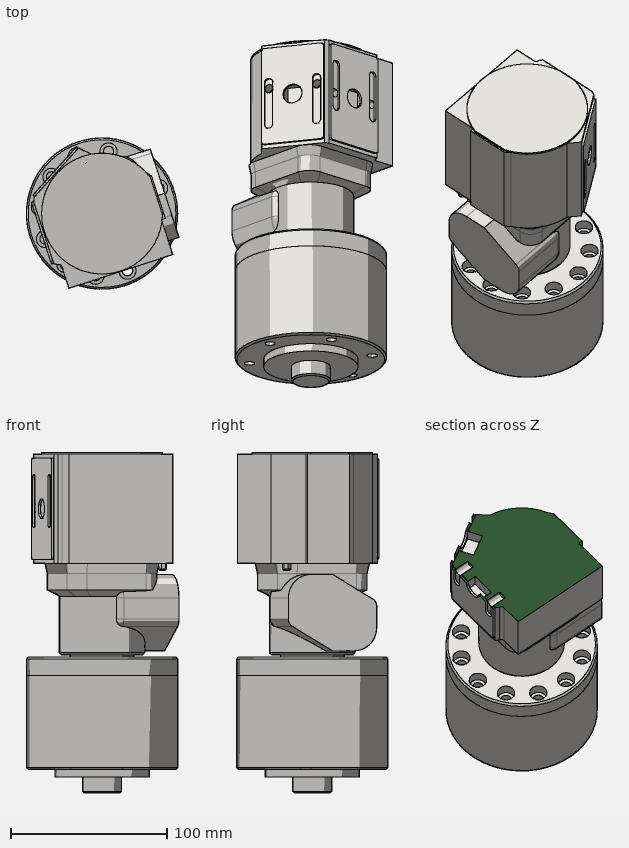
import cadquery as cq
import math

SPINDLE_LENGTH = 10.0
BOSS_HEIGHT = 5.0
HOUSING_HEIGHT = 60.0
FLANGE_HEIGHT = 12.0
COLLAR_HEIGHT = 1.3
BARREL_HEIGHT = 37.5
TRANSITION_HEIGHT = 4.1
SQUARE_HEIGHT = 10.5
FLARE_HEIGHT = 6.5
HEAD_HEIGHT = 70.0
CAP_HEIGHT = 1.2

BOSS_Z = SPINDLE_LENGTH
HOUSING_Z = BOSS_Z + BOSS_HEIGHT
FLANGE_Z = HOUSING_Z + HOUSING_HEIGHT
COLLAR_Z = FLANGE_Z + FLANGE_HEIGHT
BARREL_Z = COLLAR_Z + COLLAR_HEIGHT
TRANSITION_Z = BARREL_Z + BARREL_HEIGHT
SQUARE_Z = TRANSITION_Z + TRANSITION_HEIGHT
FLARE_Z = SQUARE_Z + SQUARE_HEIGHT
HEAD_Z = FLARE_Z + FLARE_HEIGHT
CAP_Z = HEAD_Z + HEAD_HEIGHT

HOUSING_DIAMETER = 97.0
FLANGE_DIAMETER = 97.0
BOSS_DIAMETER = 60.5
SPINDLE_DIAMETER = 25.0
EDGE_CHAMFER = 1.2
SPINDLE_CHAMFER = 1.0

BOLT_CIRCLE_DIAMETER = 80.0
BOLT_COUNT = 12
BOLT_START_ANGLE = 24.0
BOLT_HOLE_DIAMETER = 6.6
COUNTERBORE_DIAMETER = 11.0
COUNTERBORE_DEPTH = 7.0

TURN_ANGLE = 18.0
COLLAR_DIAMETER = 41.0
BARREL_DIAMETER = 55.0
BARREL_CHAMFER = 1.5
SQUARE_SIDE = 60.0
SQUARE_CORNER_RADIUS = 10.0
FLARE_ANGLE = 12.0

CONNECTOR_REACH = 42.2
CONNECTOR_WIDTH = 59.5
CONNECTOR_HEIGHT = 48.9
CONNECTOR_LARGE_RADIUS = 15.0
CONNECTOR_SMALL_RADIUS = 5.5
CONNECTOR_SLOPE = 30.0
CONNECTOR_BACK_RADIUS = 5.0
CONNECTOR_MID_Z = 115.4

HEAD_HALF_WIDTH = 35.0
HEAD_FRONT = 39.0
CAP_DIAMETER = 77.4
CAP_FLAT_DISTANCE = 36.6

SIDE_RAISE = 2.6
SIDE_RAISE_START = -15.5
SIDE_RAISE_END = 13.0
PAD_DISTANCE = 39.3
PAD_HALF_WIDTH = 21.0
PAD_ANGLES = (198.0, 138.0)
STEP_FILLET = 2.0
STEP_RUN = 1.5
PAD_END_DROP = 8.8
PAD_END_SLANT = 18.0

SCREW_HEAD_DIAMETER = 5.4
SCREW_HEAD_HEIGHT = 4.4
SCREW_HEAD_CHAMFER = 0.8
SCREW_HEAD_U = 31.8
SCREW_HEAD_V = -27.5

PLATE_WIDTH = 41.7
PLATE_HEIGHT = 65.0
PLATE_THICKNESS = 1.5
PLATE_CORNER_RADIUS = 2.0
SLOT_SPACING = 32.0
SLOT_LENGTH = 33.8
SLOT_WIDTH = 5.5
SLOT_SHIFT = 5.0
WINDOW_DIAMETER = 12.6
POCKET_SIZE = 16.0
POCKET_DEPTHS = (6.0, 10.0)
PLATE_MID_Z = HEAD_Z + HEAD_HEIGHT / 2
TAPPED_DEPTH = 10.0
TAPPED_OFFSETS = (0.3, 5.5)
PLATE_TURNS = (0.0, 180.0)


def cylinder(diameter, bottom, height):
    return cq.Workplane("XY").workplane(offset=bottom).circle(diameter / 2).extrude(height)


def turn(body):
    return body.rotate((0, 0, 0), (0, 0, 1), TURN_ANGLE)


def bolt_points():
    points = []
    for index in range(BOLT_COUNT):
        angle = math.radians(BOLT_START_ANGLE + 360 / BOLT_COUNT * index)
        radius = BOLT_CIRCLE_DIAMETER / 2
        points.append((radius * math.cos(angle), radius * math.sin(angle)))
    return points


def make_spindle():
    spindle = cylinder(SPINDLE_DIAMETER, 0, SPINDLE_LENGTH)
    return spindle.faces("<Z").chamfer(SPINDLE_CHAMFER)


def make_housing():
    barrel = cylinder(HOUSING_DIAMETER, HOUSING_Z, HOUSING_HEIGHT).faces("<Z").chamfer(EDGE_CHAMFER)
    housing = barrel.union(cylinder(BOSS_DIAMETER, BOSS_Z, BOSS_HEIGHT))
    holes = (
        cq.Workplane("XY").workplane(offset=HOUSING_Z)
        .pushPoints(bolt_points()[1::2]).circle(BOLT_HOLE_DIAMETER / 2).extrude(HOUSING_HEIGHT)
    )
    return housing.cut(holes)


def make_flange():
    flange = cylinder(FLANGE_DIAMETER, FLANGE_Z, FLANGE_HEIGHT).faces(">Z").chamfer(EDGE_CHAMFER)
    return (
        flange.faces(">Z").workplane(origin=(0, 0, COLLAR_Z))
        .pushPoints(bolt_points())
        .cboreHole(BOLT_HOLE_DIAMETER, COUNTERBORE_DIAMETER, COUNTERBORE_DEPTH)
    )


def rounded_square():
    return cq.Sketch().rect(SQUARE_SIDE, SQUARE_SIDE).vertices().fillet(SQUARE_CORNER_RADIUS)


def make_transition():
    """Ruled skin from the round barrel up to the square block, matched arc by arc."""
    half = SQUARE_SIDE / 2
    flat = half - SQUARE_CORNER_RADIUS
    corner_mid = flat + SQUARE_CORNER_RADIUS * math.sqrt(0.5)
    radius = BARREL_DIAMETER / 2
    spread = math.degrees(math.atan2(flat, half))

    def on_barrel(angle):
        return (radius * math.cos(math.radians(angle)), radius * math.sin(math.radians(angle)))

    def quarter_turned(point, quarter):
        angle = math.pi / 2 * quarter
        x, y = point
        return (
            x * math.cos(angle) - y * math.sin(angle),
            x * math.sin(angle) + y * math.cos(angle),
        )

    lower = cq.Workplane("XY").workplane(offset=TRANSITION_Z).moveTo(*on_barrel(-spread))
    for quarter in range(4):
        base = 90 * quarter
        lower = lower.threePointArc(on_barrel(base), on_barrel(base + spread))
        lower = lower.threePointArc(on_barrel(base + 45), on_barrel(base + 90 - spread))
    upper = lower.close().workplane(offset=TRANSITION_HEIGHT).moveTo(half, -flat)
    for quarter in range(4):
        upper = upper.lineTo(*quarter_turned((half, flat), quarter))
        upper = upper.threePointArc(
            quarter_turned((corner_mid, corner_mid), quarter),
            quarter_turned((flat, half), quarter),
        )
    return upper.close().loft(ruled=True)


def make_connector():
    """Side housing whose end outline looks the same after half a turn."""
    half_width = CONNECTOR_WIDTH / 2
    half_height = CONNECTOR_HEIGHT / 2
    drop = half_width * math.tan(math.radians(CONNECTOR_SLOPE))
    shoulder = half_height - drop
    outline = [
        (-half_width, half_height), (0, half_height), (half_width, shoulder),
        (half_width, -half_height), (0, -half_height), (-half_width, -shoulder),
    ]
    block = (
        cq.Workplane("YZ").center(0, CONNECTOR_MID_Z).polyline(outline).close()
        .extrude(CONNECTOR_REACH)
    )
    for side in (-1, 1):
        large = cq.selectors.NearestToPointSelector(
            (CONNECTOR_REACH / 2, side * half_width, CONNECTOR_MID_Z - side * half_height))
        small = cq.selectors.NearestToPointSelector(
            (CONNECTOR_REACH / 2, side * half_width, CONNECTOR_MID_Z + side * shoulder))
        block = block.edges(large).fillet(CONNECTOR_LARGE_RADIUS)
        block = block.edges(small).fillet(CONNECTOR_SMALL_RADIUS)
    return block.faces("<X").edges().fillet(CONNECTOR_BACK_RADIUS)


def make_drive_neck():
    section = rounded_square()
    square = cq.Workplane("XY").workplane(offset=SQUARE_Z).placeSketch(section).extrude(SQUARE_HEIGHT)
    flare = (
        cq.Workplane("XY").workplane(offset=FLARE_Z).placeSketch(section)
        .extrude(FLARE_HEIGHT, taper=-FLARE_ANGLE)
    )
    barrel = cylinder(BARREL_DIAMETER, BARREL_Z, BARREL_HEIGHT).faces("<Z").chamfer(BARREL_CHAMFER)
    neck = cylinder(COLLAR_DIAMETER, COLLAR_Z, COLLAR_HEIGHT).union(barrel)
    neck = neck.union(make_transition()).union(square).union(flare).union(make_connector())
    return turn(neck)


def pad_point(pad_angle, distance, along):
    """Point given by its distance from the axis and its offset along a pad, in the turned frame."""
    angle = math.radians(pad_angle - TURN_ANGLE)
    return (
        distance * math.cos(angle) - along * math.sin(angle),
        distance * math.sin(angle) + along * math.cos(angle),
    )


def make_head_block():
    radius = CAP_DIAMETER / 2
    first, second = PAD_ANGLES

    run = PAD_END_DROP * math.tan(math.radians(PAD_END_SLANT))
    foot_x, foot_y = pad_point(second, PAD_DISTANCE - PAD_END_DROP, -PAD_HALF_WIDTH - run)
    foot_angle = math.atan2(foot_y, foot_x)
    side_end = math.sqrt(radius**2 - HEAD_HALF_WIDTH**2)
    side_angle = math.atan2(side_end, HEAD_HALF_WIDTH)
    middle_angle = (foot_angle + side_angle) / 2

    def on_back(angle):
        return (radius * math.cos(angle), radius * math.sin(angle))

    raised_side = HEAD_HALF_WIDTH + SIDE_RAISE
    step_y = -PAD_HALF_WIDTH - STEP_RUN
    fillet_inset = STEP_FILLET * (1 - math.sqrt(0.5))
    return (
        cq.Workplane("XY").workplane(offset=HEAD_Z)
        .moveTo(HEAD_HALF_WIDTH, side_end)
        .lineTo(raised_side, SIDE_RAISE_END)
        .lineTo(raised_side, SIDE_RAISE_START)
        .lineTo(HEAD_HALF_WIDTH, SIDE_RAISE_START)
        .lineTo(HEAD_HALF_WIDTH, -HEAD_FRONT)
        .lineTo(-HEAD_HALF_WIDTH, -HEAD_FRONT)
        .lineTo(-HEAD_HALF_WIDTH, step_y - STEP_FILLET)
        .threePointArc(
            (-HEAD_HALF_WIDTH - fillet_inset, step_y - fillet_inset),
            (-HEAD_HALF_WIDTH - STEP_FILLET, step_y))
        .lineTo(*pad_point(first, PAD_DISTANCE, PAD_HALF_WIDTH))
        .lineTo(*pad_point(first, PAD_DISTANCE, -PAD_HALF_WIDTH))
        .lineTo(*pad_point(second, PAD_DISTANCE, PAD_HALF_WIDTH))
        .lineTo(*pad_point(second, PAD_DISTANCE, -PAD_HALF_WIDTH))
        .lineTo(*on_back(foot_angle))
        .threePointArc(on_back(middle_angle), (HEAD_HALF_WIDTH, side_end))
        .close().extrude(HEAD_HEIGHT)
    )


def pad_plane(pad_angle):
    angle = math.radians(pad_angle)
    normal = (math.cos(angle), math.sin(angle), 0)
    origin = (PAD_DISTANCE * normal[0], PAD_DISTANCE * normal[1], PLATE_MID_Z)
    return cq.Plane(origin=origin, xDir=(-math.sin(angle), math.cos(angle), 0), normal=normal)


def make_head():
    screw_head = (
        cq.Workplane("XY").workplane(offset=HEAD_Z).center(SCREW_HEAD_U, SCREW_HEAD_V)
        .polygon(6, SCREW_HEAD_DIAMETER).extrude(-SCREW_HEAD_HEIGHT)
        .faces("<Z").chamfer(SCREW_HEAD_CHAMFER)
    )
    head = turn(make_head_block().union(screw_head))
    pocket_shift = (POCKET_SIZE - WINDOW_DIAMETER) / 2
    for pad_angle, offset, pocket_depth in zip(PAD_ANGLES, TAPPED_OFFSETS, POCKET_DEPTHS):
        plane = pad_plane(pad_angle)
        pocket = (
            cq.Workplane(plane).center(pocket_shift, 0).rect(POCKET_SIZE, POCKET_SIZE)
            .extrude(-pocket_depth)
        )
        tapped = (
            cq.Workplane(plane).center(0, offset).rarray(SLOT_SPACING, 1, 2, 1)
            .circle(SLOT_WIDTH / 2).extrude(-TAPPED_DEPTH)
        )
        head = head.cut(pocket).cut(tapped)
    return head


def make_cap():
    cap = cylinder(CAP_DIAMETER, CAP_Z, CAP_HEIGHT)
    side_cut = (
        cq.Workplane("XY").workplane(offset=CAP_Z)
        .center(CAP_FLAT_DISTANCE + CAP_DIAMETER / 2, 0).rect(CAP_DIAMETER, CAP_DIAMETER)
        .extrude(CAP_HEIGHT)
    )
    return turn(cap.cut(side_cut))


def make_plate(pad_angle, half_turn):
    plate = (
        cq.Workplane("XY").rect(PLATE_WIDTH, PLATE_HEIGHT).extrude(PLATE_THICKNESS)
        .edges("|Z").fillet(PLATE_CORNER_RADIUS)
    )
    slots = (
        cq.Workplane("XY").center(0, SLOT_SHIFT).rarray(SLOT_SPACING, 1, 2, 1)
        .slot2D(SLOT_LENGTH, SLOT_WIDTH, 90).extrude(PLATE_THICKNESS)
    )
    window = cq.Workplane("XY").circle(WINDOW_DIAMETER / 2).extrude(PLATE_THICKNESS)
    plate = plate.cut(slots).cut(window).rotate((0, 0, 0), (0, 0, 1), half_turn)
    return cq.Workplane(obj=plate.val().located(cq.Location(pad_plane(pad_angle))))


spindle = make_spindle()
housing = make_housing()
flange = make_flange()
drive_neck = make_drive_neck()
head = make_head()
cap = make_cap()
plates = [make_plate(angle, half_turn) for angle, half_turn in zip(PAD_ANGLES, PLATE_TURNS)]

result = cq.Compound.makeCompound(
    [spindle.val(), housing.val(), flange.val(), drive_neck.val(), head.val(), cap.val()]
    + [plate.val() for plate in plates]
)